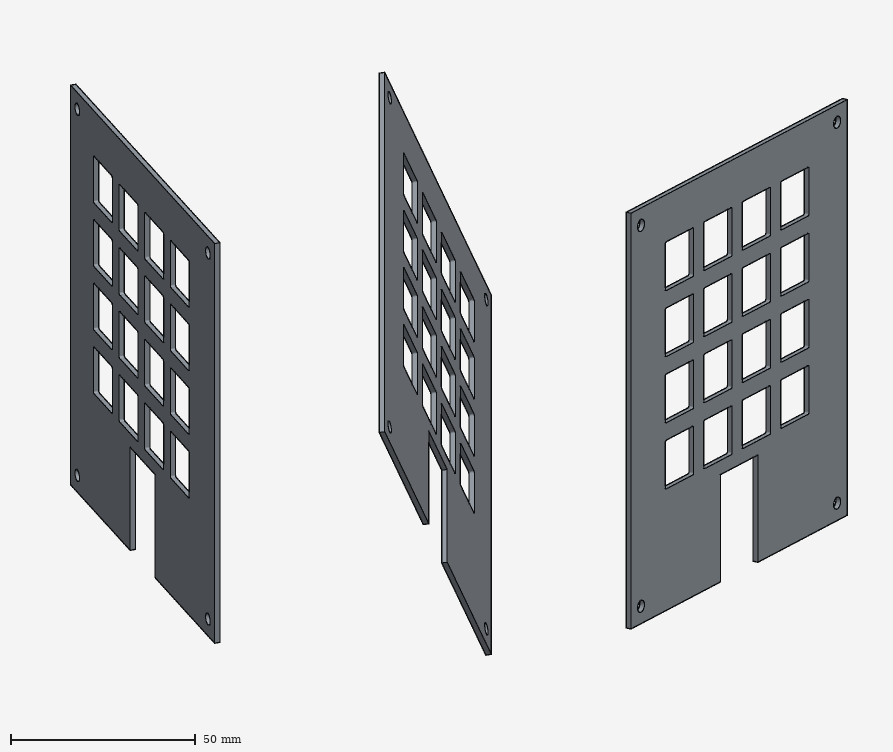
import cadquery as cq

width = 107.2
thickness = 1.5
height = 119.8

hole_diameter = 3.4
hole_inset = 5.0

keys_per_side = 4
key_pitch = 19.0
key_size = 14.0
key_corner_radius = 0.5
first_key_from_left = 24.1
first_key_from_top = 20.6
key_grid_half_span = key_pitch * (keys_per_side - 1) / 2
key_grid_center_x = -width / 2 + first_key_from_left + key_grid_half_span
key_grid_center_z = height / 2 - first_key_from_top - key_grid_half_span

notch_width = 18.5
notch_depth = 30.9


def through_cutter(sketch):
    """Extrude a sketch on the XZ plane through the whole plate thickness."""
    return cq.Workplane("XZ").placeSketch(sketch).extrude(thickness / 2, both=True)


def make_plate():
    return through_cutter(cq.Sketch().rect(width, height))


def make_mounting_holes():
    spacing_x = width - 2 * hole_inset
    spacing_z = height - 2 * hole_inset
    return through_cutter(
        cq.Sketch().rarray(spacing_x, spacing_z, 2, 2).circle(hole_diameter / 2)
    )


def make_key_cutouts():
    cutouts = (
        cq.Sketch()
        .rarray(key_pitch, key_pitch, keys_per_side, keys_per_side)
        .rect(key_size, key_size)
        .reset()
        .vertices()
        .fillet(key_corner_radius)
    )
    return through_cutter(cutouts).translate((key_grid_center_x, 0, key_grid_center_z))


def make_notch():
    notch_center_z = (notch_depth - height) / 2
    return through_cutter(cq.Sketch().rect(notch_width, notch_depth)).translate(
        (0, 0, notch_center_z)
    )


result = make_plate().cut(make_mounting_holes()).cut(make_key_cutouts()).cut(make_notch())